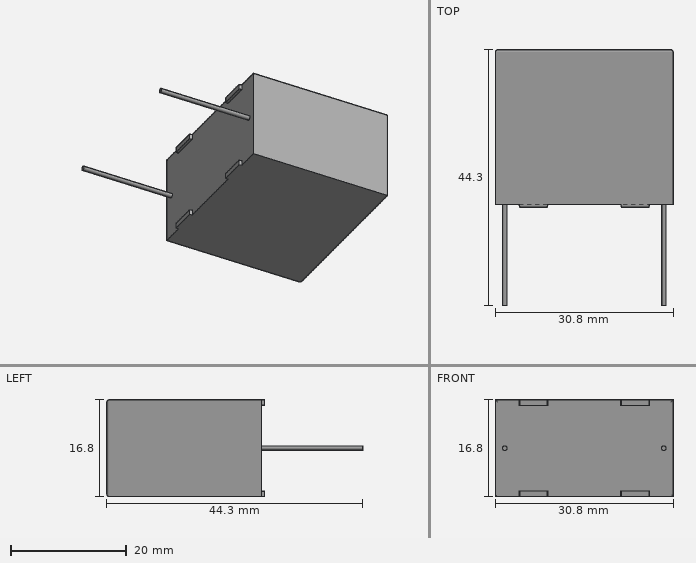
import cadquery as cq

TOTAL_LENGTH = 44.3
BODY_WIDTH = 30.8
BODY_HEIGHT = 16.8

LEAD_LENGTH = 17.5
LEAD_DIAMETER = 0.8
LEAD_PITCH = 27.5

BODY_DEPTH = TOTAL_LENGTH - LEAD_LENGTH
BACK_FILLET = 0.5

FOOT_BASE_WIDTH = 5.0
FOOT_END_TAPER = 0.15
FOOT_THICKNESS = 0.97
FOOT_PROJECTION = 0.5
FOOT_PITCH = 17.6

SIDES = (-1, 1)


def make_foot(x_side, z_side):
    """One standoff foot on the front face at Y = 0, its two ends tapering toward the tip."""
    x_center = x_side * FOOT_PITCH / 2
    z_center = z_side * (BODY_HEIGHT - FOOT_THICKNESS) / 2
    base_half = FOOT_BASE_WIDTH / 2
    tip_half = base_half - FOOT_END_TAPER
    outline = [
        (-base_half, 0),
        (base_half, 0),
        (tip_half, -FOOT_PROJECTION),
        (-tip_half, -FOOT_PROJECTION),
    ]
    return (
        cq.Workplane("XY")
        .polyline(outline)
        .close()
        .extrude(FOOT_THICKNESS / 2, both=True)
        .translate((x_center, 0, z_center))
    )


def make_housing():
    """Rectangular case with a rounded back rim and four front feet."""
    housing = (
        cq.Workplane("XY")
        .box(BODY_WIDTH, BODY_DEPTH, BODY_HEIGHT)
        .translate((0, BODY_DEPTH / 2, 0))
        .faces(">Y")
        .edges()
        .fillet(BACK_FILLET)
    )
    for x_side in SIDES:
        for z_side in SIDES:
            housing = housing.union(make_foot(x_side, z_side))
    return housing


def make_lead(x_side):
    """Straight round lead running from the front face toward -Y."""
    return (
        cq.Workplane("XZ")
        .center(x_side * LEAD_PITCH / 2, 0)
        .circle(LEAD_DIAMETER / 2)
        .extrude(LEAD_LENGTH)
    )


housing = make_housing()
leads = [make_lead(x_side).val() for x_side in SIDES]

result = cq.Compound.makeCompound([housing.val(), *leads])